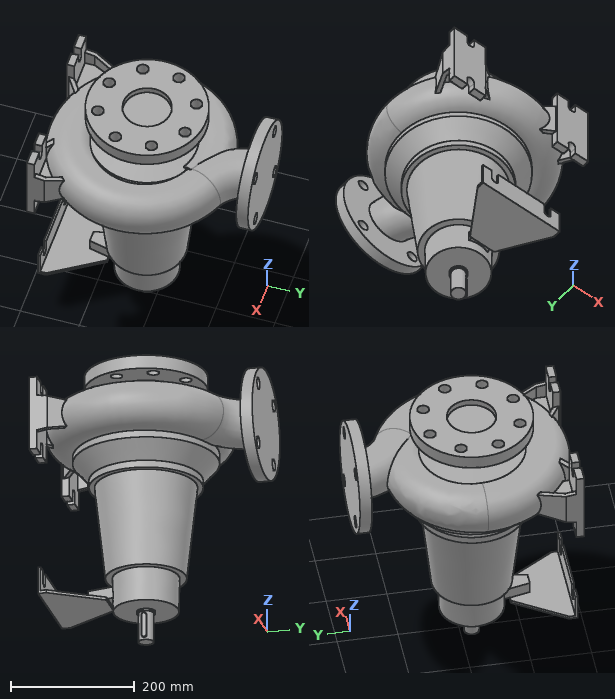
import math

import cadquery as cq


suction_face_z = 100
suction_flange_dia = 200
suction_flange_thickness = 23
suction_bolt_circle = 160
suction_bolt_count = 8
suction_bore_dia = 80
suction_bore_depth = 11
neck_radius = 48

discharge_face_y = 200
discharge_flange_dia = 185
discharge_flange_thickness = 20
discharge_bolt_circle = 145
discharge_bolt_count = 4
bolt_hole_dia = 19

tube_radius = 40
volute_x = 10
volute_y = -0.22
volute_path_radius = 121
tail_path_radius = 110
tail_end_radius = 34
tail_sweep_angle = 120

shoulder_neck_z = 32
shoulder_slope = math.tan(math.radians(10))
shoulder_radius = 95
casing_radius = 119
casing_bottom_z = -50
casing_cone_end_z = -80
rear_flange_radius = 92.5
rear_flange_end_z = -92
housing_top_radius = 83.5
housing_bottom_radius = 66
housing_end_z = -250
bearing_top_radius = 54.5
bearing_bottom_radius = 53.3
bearing_end_z = -307
collar_radius = 15
collar_end_z = -310
shaft_radius = 12.5
shaft_end_z = -360

key_width = 8
key_length = 42
key_top_x = 15.5
key_center_z = -335

foot_face_y = -160
foot_thickness = 13
foot_back_y = foot_face_y + foot_thickness
foot_inner_x = 75
foot_outer_x = 140
foot_height = 125
foot_slot_x = 106
foot_slot_depth = 21.5
slot_width = 14
rib_thickness = 8
rib_bend_y = -130
rib_root_half_height = 30.5
rib_height_slope = 1 / 6
rib_tip_y = -75
outer_rib_angle = 65
inner_rib_angle = 35
inner_rib_length = 45
web_thickness = 8

bracket_half_width = 80
bracket_top_z = -245
bracket_bottom_z = -290.5
bracket_wall = 4
bracket_shelf = 5
bracket_slot_x = 55
bracket_slot_depth = 24.5
shelf_straight_y = -146
shelf_tip_y = -60
shelf_tip_half_width = 25
block_height = 19.5
block_front_y = -94
block_front_half_width = 10
block_back_y = -50
block_back_half_width = 20


def suction_flange():
    """Drilled round flange with a shallow blind bore, standing on a neck."""
    bottom_z = suction_face_z - suction_flange_thickness
    flange = (
        cq.Workplane("XY")
        .workplane(offset=bottom_z)
        .circle(suction_flange_dia / 2)
        .extrude(suction_flange_thickness)
        .faces(">Z")
        .workplane()
        .polarArray(suction_bolt_circle / 2, 180 / suction_bolt_count, 360, suction_bolt_count)
        .hole(bolt_hole_dia)
        .faces(">Z")
        .workplane(origin=(0, 0, 0))
        .hole(suction_bore_dia, suction_bore_depth)
    )
    neck = cq.Workplane("XY").circle(neck_radius).extrude(bottom_z)
    return flange.union(neck)


def discharge_flange():
    """Drilled round flange on the +Y side."""
    return (
        cq.Workplane("XZ", origin=(0, discharge_face_y, 0))
        .circle(discharge_flange_dia / 2)
        .extrude(discharge_flange_thickness)
        .faces(">Y")
        .workplane(origin=(0, 0, 0))
        .polarArray(discharge_bolt_circle / 2, 180 / discharge_bolt_count, 360, discharge_bolt_count)
        .hole(bolt_hole_dia)
    )


def volute_tube():
    """Round tube around the casing, curving back through an S-bend to the discharge flange."""
    rise = discharge_face_y - volute_y
    bend_radius = (rise**2 + volute_x**2 - volute_path_radius**2) / (2 * (volute_path_radius + volute_x))
    joint_angle = math.atan2(rise, bend_radius - volute_x)
    joint = (
        volute_x + volute_path_radius * math.cos(joint_angle),
        volute_y + volute_path_radius * math.sin(joint_angle),
    )
    bend_middle = (
        bend_radius * (1 - math.cos(joint_angle / 2)),
        discharge_face_y - bend_radius * math.sin(joint_angle / 2),
    )
    start = (volute_x - volute_path_radius, volute_y)
    path = (
        cq.Workplane("XY")
        .moveTo(*start)
        .threePointArc((volute_x, volute_y - volute_path_radius), joint)
        .threePointArc(bend_middle, (0, discharge_face_y))
    )
    return cq.Workplane("XZ", origin=(*start, 0)).circle(tube_radius).sweep(path)


def volute_tail():
    """Narrowing tube that closes the volute from its -X side to the root of the discharge bend."""
    start_x = volute_x - volute_path_radius
    center_x = start_x + tail_path_radius

    def path_point(angle):
        turn = math.radians(angle)
        return cq.Vector(
            center_x - tail_path_radius * math.cos(turn),
            volute_y + tail_path_radius * math.sin(turn),
            0,
        )

    def section(angle, radius):
        turn = math.radians(angle)
        plane = cq.Plane(
            origin=path_point(angle),
            xDir=(-math.cos(turn), math.sin(turn), 0),
            normal=(math.sin(turn), math.cos(turn), 0),
        )
        return cq.Workplane(plane).circle(radius).ctx.pendingWires[0]

    path = cq.Edge.makeThreePointArc(
        path_point(0), path_point(tail_sweep_angle / 2), path_point(tail_sweep_angle)
    )
    sections = [section(0, tube_radius), section(tail_sweep_angle, tail_end_radius)]
    return cq.Workplane(cq.Solid.sweep_multi(sections, cq.Wire.assembleEdges([path])))


def casing_and_shaft():
    """Turned body: casing shoulder, housing cones, bearing end, collar and shaft."""
    shoulder_z = shoulder_neck_z - (shoulder_radius - neck_radius) * shoulder_slope
    profile = [
        (0, shoulder_neck_z),
        (neck_radius, shoulder_neck_z),
        (shoulder_radius, shoulder_z),
        (casing_radius, -tube_radius / 2),
        (casing_radius, casing_bottom_z),
        (rear_flange_radius, casing_cone_end_z),
        (rear_flange_radius, rear_flange_end_z),
        (housing_top_radius, rear_flange_end_z),
        (housing_bottom_radius, housing_end_z),
        (bearing_top_radius, housing_end_z),
        (bearing_bottom_radius, bearing_end_z),
        (collar_radius, bearing_end_z),
        (collar_radius, collar_end_z),
        (shaft_radius, collar_end_z),
        (shaft_radius, shaft_end_z),
        (0, shaft_end_z),
    ]
    return cq.Workplane("YZ").polyline(profile).close().revolve(360, (0, 0), (0, 1))


def shaft_key():
    """Round-ended key on the +X side of the shaft."""
    return (
        cq.Workplane("YZ")
        .center(0, key_center_z)
        .slot2D(key_length, key_width, 90)
        .extrude(key_top_x)
    )


def open_slot(x, edge_z, depth, inward):
    """Cutter for a round-bottomed slot entering a front plate from the edge at edge_z."""
    half = slot_width / 2
    arc_z = edge_z + inward * (depth - half)
    return (
        cq.Workplane("XZ", origin=(0, foot_back_y, 0))
        .moveTo(x - half, edge_z)
        .lineTo(x - half, arc_z)
        .threePointArc((x, edge_z + inward * depth), (x + half, arc_z))
        .lineTo(x + half, edge_z)
        .close()
        .extrude(foot_thickness)
    )


def outer_rib_outline():
    """Plan of the outer rib: straight off the foot plate, then leaning towards the volute."""
    lean = math.radians(outer_rib_angle)
    tip_x = foot_outer_x - (rib_tip_y - rib_bend_y) / math.tan(lean)
    tip_width = rib_thickness / math.sin(lean)
    return [
        (foot_outer_x, foot_back_y),
        (foot_outer_x, rib_bend_y),
        (tip_x, rib_tip_y),
        (tip_x - tip_width, rib_tip_y),
        (foot_outer_x - rib_thickness, rib_bend_y),
        (foot_outer_x - rib_thickness, foot_back_y),
    ]


def inner_rib_outline():
    """Plan of the inner rib: slanting from the inner edge of the foot plate into the volute."""
    slant = math.radians(inner_rib_angle)
    tip_x = foot_inner_x - inner_rib_length * math.cos(slant)
    rise = inner_rib_length * math.sin(slant)
    root_y = foot_back_y - rib_thickness / math.cos(slant)
    return [
        (foot_inner_x, foot_back_y),
        (tip_x, foot_back_y + rise),
        (tip_x, root_y + rise),
        (foot_inner_x, root_y),
    ]


def rib_envelope():
    """Wedge that gives the ribs their height, lower towards the volute."""
    root_half_height = rib_root_half_height + rib_height_slope * foot_thickness
    tip_half_height = rib_root_half_height - rib_height_slope * (rib_tip_y - foot_back_y)
    return (
        cq.Workplane("YZ")
        .polyline([
            (foot_face_y, -root_half_height),
            (rib_tip_y, -tip_half_height),
            (rib_tip_y, tip_half_height),
            (foot_face_y, root_half_height),
        ])
        .close()
        .extrude(foot_outer_x)
    )


def foot():
    """Slotted foot plate on the +X side with two tapering ribs and a level web to the volute."""
    body = (
        cq.Workplane("XY")
        .box(foot_outer_x - foot_inner_x, foot_thickness, foot_height, centered=(False, False, True))
        .translate((foot_inner_x, foot_face_y, 0))
    )
    for side in (1, -1):
        body = body.cut(open_slot(foot_slot_x, side * foot_height / 2, foot_slot_depth, -side))

    envelope = rib_envelope()
    for outline in (outer_rib_outline(), inner_rib_outline()):
        rib = cq.Workplane("XY").polyline(outline).close().extrude(foot_height / 2, both=True)
        body = body.union(rib.intersect(envelope))

    outer_edge = outer_rib_outline()[:3]
    web = (
        cq.Workplane("XY")
        .polyline([(foot_inner_x, foot_back_y), *outer_edge, (foot_inner_x, rib_tip_y)])
        .close()
        .extrude(web_thickness / 2, both=True)
    )
    return body.union(web)


def support_bracket():
    """Angle bracket on the -Y side of the bearing end: slotted wall, tapering shelf and connecting block."""
    wall_height = bracket_top_z - bracket_bottom_z
    wall = (
        cq.Workplane("XY")
        .box(2 * bracket_half_width, bracket_wall, wall_height, centered=(True, False, False))
        .translate((0, foot_face_y, bracket_bottom_z))
    )
    for x in (-bracket_slot_x, bracket_slot_x):
        wall = wall.cut(open_slot(x, bracket_top_z, bracket_slot_depth, -1))

    shelf = (
        cq.Workplane("XY", origin=(0, 0, bracket_bottom_z))
        .polyline([
            (-bracket_half_width, foot_face_y),
            (bracket_half_width, foot_face_y),
            (bracket_half_width, shelf_straight_y),
            (shelf_tip_half_width, shelf_tip_y),
            (-shelf_tip_half_width, shelf_tip_y),
            (-bracket_half_width, shelf_straight_y),
        ])
        .close()
        .extrude(bracket_shelf)
    )
    block = (
        cq.Workplane("XY", origin=(0, 0, bracket_bottom_z + bracket_shelf))
        .polyline([
            (-block_front_half_width, block_front_y),
            (block_front_half_width, block_front_y),
            (block_back_half_width, block_back_y),
            (-block_back_half_width, block_back_y),
        ])
        .close()
        .extrude(block_height)
    )
    return wall.union(shelf).union(block)


right_foot = foot()
result = (
    casing_and_shaft()
    .union(volute_tube())
    .union(volute_tail())
    .union(suction_flange())
    .union(discharge_flange())
    .union(shaft_key())
    .union(right_foot)
    .union(right_foot.mirror("YZ"))
    .union(support_bracket())
)